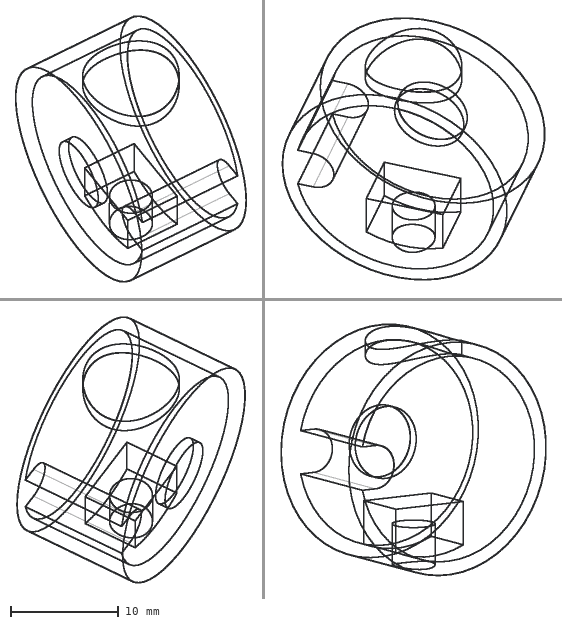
import cadquery as cq

outer_diameter = 22.0
length = 11.53
cavity_diameter = 19.4
end_wall = 1.03
bore_diameter = 6.8

window_diameter = 9.0

post_width = 7.5
post_length = 5.45
post_top_z = -4.85

blind_hole_diameter = 4.0
blind_hole_top_z = -7.0

key_height = 4.1
key_nose_center_x = 8.0

front_y = -length / 2
cavity_front_y = front_y + end_wall
cavity_depth = length - end_wall
outer_radius = outer_diameter / 2
mid_wall_radius = (outer_diameter + cavity_diameter) / 4


def cylinder_along_y(diameter, start_y, depth):
    """Cylinder on the part axis, from start_y towards +Y."""
    plane = cq.Plane(origin=(0, start_y, 0), xDir=(1, 0, 0), normal=(0, 1, 0))
    return cq.Workplane(plane).circle(diameter / 2).extrude(depth)


def cylinder_along_z(diameter, bottom_z, top_z):
    """Cylinder on the Z axis, between two heights."""
    return cq.Workplane("XY").workplane(offset=bottom_z).circle(diameter / 2).extrude(top_z - bottom_z)


def make_cup():
    body = cylinder_along_y(outer_diameter, front_y, length)
    cavity = cylinder_along_y(cavity_diameter, cavity_front_y, cavity_depth)
    bore = cylinder_along_y(bore_diameter, front_y, length)
    return body.cut(cavity).cut(bore)


def make_post():
    """Post trimmed to a round foot inside the side wall."""
    top = cq.Workplane("XY").workplane(offset=post_top_z)
    block = top.rect(post_width, post_length).extrude(-outer_radius)
    return block.intersect(cylinder_along_y(2 * mid_wall_radius, front_y, length))


def make_key():
    """Key running the whole depth of the cavity, rounded towards the axis."""
    half_height = key_height / 2
    plane = cq.Plane(origin=(0, cavity_front_y, 0), xDir=(1, 0, 0), normal=(0, -1, 0))
    return (
        cq.Workplane(plane)
        .moveTo(mid_wall_radius, half_height)
        .lineTo(key_nose_center_x, half_height)
        .threePointArc(
            (key_nose_center_x - half_height, 0),
            (key_nose_center_x, -half_height),
        )
        .lineTo(mid_wall_radius, -half_height)
        .close()
        .extrude(-cavity_depth)
    )


window = cylinder_along_z(window_diameter, 0, outer_radius)
blind_hole = cylinder_along_z(blind_hole_diameter, -outer_radius, blind_hole_top_z)

result = make_cup().union(make_post()).union(make_key()).cut(window).cut(blind_hole)